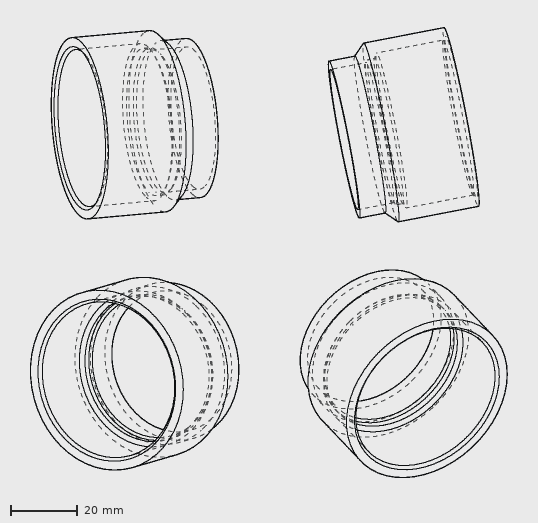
import cadquery as cq

length = 36.0
body_radius = 27.5
neck_radius = 24.15
neck_length = 8.0
shoulder_length = body_radius - neck_radius

mouth_radius = 24.75
socket_radius = 23.8
seat_radius = 22.35
throat_radius = 21.55
mouth_chamfer_length = mouth_radius - socket_radius
socket_end = 21.45
step_length = 0.8
seat_length = 2.1
throat_cone_length = seat_radius - throat_radius

neck_start = length - neck_length
body_end = neck_start - shoulder_length
seat_start = socket_end + step_length
seat_end = seat_start + seat_length
throat_start = seat_end + throat_cone_length

section = [
    (body_radius, 0),
    (body_radius, body_end),
    (neck_radius, neck_start),
    (neck_radius, length),
    (throat_radius, length),
    (throat_radius, throat_start),
    (seat_radius, seat_end),
    (seat_radius, seat_start),
    (socket_radius, socket_end),
    (socket_radius, mouth_chamfer_length),
    (mouth_radius, 0),
]

sleeve = cq.Workplane("XY").polyline(section).close().revolve(360, (0, 0), (0, 1))
result = sleeve.translate((0, -length / 2, 0))